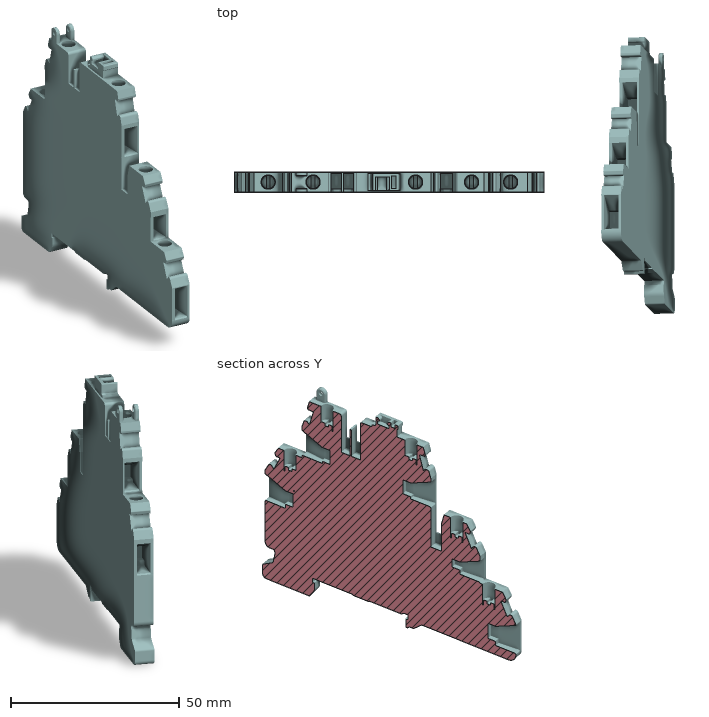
import cadquery as cq
import math

LENGTH = 92.0
THICKNESS = 6.0

TOP_Z = 70.7
MIDDLE_Z = 49.3
LOW_Z = 29.7
UNDERSIDE_Z = 6.9
RIGHT_UNDERSIDE_Z = 5.9
RAIL_PAD_Z = 6.6
FOOT_SHOULDER_Z = 11.7

LEFT_WALL = 0.9
UPPER_LEFT_WALL = 14.3
UPPER_RIGHT_WALL = 61.2
MIDDLE_RIGHT_WALL = 79.0

NOTCH_LEFT = 28.7
NOTCH_RIGHT = 35.4
NOTCH_FLOOR = 60.7
DIVIDER_LEFT = 31.7
DIVIDER_RIGHT = 32.4
DIVIDER_TOP = 66.6
GAP_RIGHT = 64.8
GAP_FLOOR = 39.4
NOTCH_ROUND = 0.8
FRONT_SKIN = 1.0
BACK_SKIN = 0.5
GAP_RECESS_DEPTH = 3.7

STEEP_NOSE = [
    (0, -10.3, 0), (0.8, -7.5, 0.8), (1.9, -7.5, 0), (2.8, -8.3, 0),
    (4.1, -3.3, 0), (2.1, -3.2, 0.5), (2.0, -2.4, 0.3), (2.8, 0, 0),
]
SLOPED_NOSE = [
    (0, -9.9, 0), (1.6, -7.1, 0.8), (2.5, -7.1, 0), (3.5, -8.2, 0),
    (5.9, -3.5, 0), (4.2, -3.5, 0.5), (3.8, -2.3, 0.3), (5.3, 0, 0),
]

SCREWS = [(10.0, MIDDLE_Z), (23.4, TOP_Z), (53.8, TOP_Z), (70.5, MIDDLE_Z), (82.1, LOW_Z)]
SCREW_Y = 3.0
SCREW_HOLE_DIAMETER = 4.2
SCREW_HEAD_DIAMETER = 4.0
SCREW_HOLE_DEPTH = 7.4
SCREW_HEAD_HEIGHT = 1.8
SCREW_SLOT_WIDTH = 1.1
SCREW_SLOT_DEPTH = 0.9

WIRE_ENTRIES = [
    (LEFT_WALL, 1, 28.15, 38.0, 5.15, 1.8),
    (UPPER_LEFT_WALL, 1, 49.9, 59.15, 5.4, 1.1),
    (UPPER_RIGHT_WALL, -1, 49.9, 59.15, 5.4, 1.1),
    (MIDDLE_RIGHT_WALL, -1, LOW_Z, 37.6, 5.15, 1.8),
    (LENGTH, -1, 9.0, 19.5, 5.15, 1.8),
]
ENTRY_FRONT = 0.9
ENTRY_BEVEL = 0.2
ENTRY_LEAD_IN = 0.4
ENTRY_DEPTH = 7.4
ENTRY_ROOF_DROP = 3.3
CLAMP_BACK = 4.5
CLAMP_DEPTH = 2.8

LUG_X = 20.0
LUG_HOLE_Z = 73.6
LUG_RADIUS = 1.7
LUG_HOLE_DIAMETER = 1.5
LUG_THICKNESS = 1.2
LUG_CHAMFER = 0.3
LUG_ROOT = 0.9

CARRIER_FRONT = 0.55
CARRIER_BACK = 5.5
CARRIER_TOP = 74.9
CARRIER_POCKET_FLOOR = 72.6
CARRIER_POCKET_BACK = 4.5
CARRIER_SLOT_START = 46.6
CARRIER_SLOT_END = 47.9
CARRIER_SLOT_FRONT = 1.1
CARRIER_SLOT_BACK = 4.8
CARRIER_SLOT_DEPTH = 1.4


def rounded_prism(corners, y_start, y_end):
    """Extrude an XZ outline along Y; each corner is (x, z, rounding radius)."""
    wire = None
    for i, (x, z, radius) in enumerate(corners):
        entry = leave = (x, z)
        if radius > 0:
            before = corners[i - 1]
            after = corners[(i + 1) % len(corners)]
            angle_in = math.atan2(before[1] - z, before[0] - x)
            angle_out = math.atan2(after[1] - z, after[0] - x)
            half = abs(math.remainder(angle_out - angle_in, math.tau)) / 2
            setback = radius / math.tan(half)
            entry = (x + setback * math.cos(angle_in), z + setback * math.sin(angle_in))
            leave = (x + setback * math.cos(angle_out), z + setback * math.sin(angle_out))
            bisector = angle_in + math.remainder(angle_out - angle_in, math.tau) / 2
            reach = radius / math.sin(half) - radius
            middle = (x + reach * math.cos(bisector), z + reach * math.sin(bisector))
        if wire is None:
            wire = cq.Workplane("XZ", origin=(0, y_start, 0)).moveTo(*entry)
        else:
            wire = wire.lineTo(*entry)
        if radius > 0:
            wire = wire.threePointArc(middle, leave)
    return wire.close().extrude(y_start - y_end)


def block(x_range, y_range, z_range):
    """Axis-aligned box between the given limits."""
    size = [high - low for low, high in (x_range, y_range, z_range)]
    return cq.Workplane("XY").box(*size, centered=False).translate((x_range[0], y_range[0], z_range[0]))


def nose(profile, wall, step_z, inward):
    """Nose corners from the wall upward; inward is +1 on left walls and -1 on right walls."""
    return [(wall + inward * offset, step_z + height, radius) for offset, height, radius in profile]


def make_body():
    foot = [
        (52.7, RIGHT_UNDERSIDE_Z, 0), (52.7, 7.5, 0), (51.3, 7.5, 0), (50.4, UNDERSIDE_Z, 0),
        (38.8, UNDERSIDE_Z, 0), (38.8, RAIL_PAD_Z, 0), (32.75, RAIL_PAD_Z, 0), (32.75, UNDERSIDE_Z, 0),
        (18.3, UNDERSIDE_Z, 0), (18.3, 5.5, 0), (18.95, 5.5, 0), (18.95, 2.8, 2.3),
        (17.1, 0, 0.7), (0, 0, 1.5), (0, 4.9, 0.7), (3.8, 6.9, 0.9),
        (4.4, 10.1, 0), (4.4, FOOT_SHOULDER_Z, 0.7),
    ]
    left_side = (
        [(LEFT_WALL, FOOT_SHOULDER_Z, 1.75)]
        + nose(SLOPED_NOSE, LEFT_WALL, MIDDLE_Z, 0.9)
        + [(UPPER_LEFT_WALL, MIDDLE_Z, 0)]
        + nose(STEEP_NOSE, UPPER_LEFT_WALL, TOP_Z, 1)
    )
    notch = [
        (NOTCH_LEFT, TOP_Z, NOTCH_ROUND), (NOTCH_LEFT, NOTCH_FLOOR, 0),
        (NOTCH_RIGHT, NOTCH_FLOOR, 0), (NOTCH_RIGHT, TOP_Z, NOTCH_ROUND),
    ]
    right_side = (
        nose(STEEP_NOSE, UPPER_RIGHT_WALL, TOP_Z, -1)[::-1]
        + [(UPPER_RIGHT_WALL, GAP_FLOOR, 0), (GAP_RIGHT, GAP_FLOOR, 0)]
        + [(GAP_RIGHT, 45.4, 0), (65.9, MIDDLE_Z, 0.3)]
        + nose(SLOPED_NOSE, MIDDLE_RIGHT_WALL, MIDDLE_Z, -0.9)[::-1]
        + [(MIDDLE_RIGHT_WALL, LOW_Z, 0)]
        + nose(SLOPED_NOSE, LENGTH, LOW_Z, -0.9)[::-1]
        + [(LENGTH, RIGHT_UNDERSIDE_Z, 2.9)]
    )
    latch = [
        (57.8, RIGHT_UNDERSIDE_Z, 0.9), (54.8, 3.4, 0), (53.3, 3.4, 0),
        (52.6, 2.8, 0), (51.9, 2.8, 0), (51.9, RIGHT_UNDERSIDE_Z, 0),
    ]
    return rounded_prism(foot + left_side + notch + right_side + latch, 0, THICKNESS)


def gap_recess(x_start, x_end, floor_z):
    """Deepened middle of a gap floor, leaving a skin at the front and back."""
    y_range = (FRONT_SKIN, THICKNESS - BACK_SKIN)
    return block((x_start, x_end), y_range, (floor_z - GAP_RECESS_DEPTH, floor_z))


def make_divider():
    z_range = (NOTCH_FLOOR - GAP_RECESS_DEPTH, DIVIDER_TOP)
    return block((DIVIDER_LEFT, DIVIDER_RIGHT), (0, THICKNESS), z_range)


def screw_hole(x, step_z):
    """Hole with the slotted screw head left standing on its floor."""
    floor_z = step_z - SCREW_HOLE_DEPTH
    head_z = floor_z + SCREW_HEAD_HEIGHT
    floor = cq.Workplane("XY", origin=(x, SCREW_Y, floor_z))
    hole = floor.circle(SCREW_HOLE_DIAMETER / 2).extrude(SCREW_HOLE_DEPTH)
    head = floor.circle(SCREW_HEAD_DIAMETER / 2).extrude(SCREW_HEAD_HEIGHT)
    slot = block(
        (x - SCREW_SLOT_WIDTH / 2, x + SCREW_SLOT_WIDTH / 2),
        (SCREW_Y - SCREW_HEAD_DIAMETER / 2, SCREW_Y + SCREW_HEAD_DIAMETER / 2),
        (head_z - SCREW_SLOT_DEPTH, head_z),
    )
    return hole.cut(head.cut(slot))


def wire_entry(wall, inward, bottom, top, back, sill):
    """Beveled front lip, chamber with a sloping roof and back, and a clamp opening behind it."""

    def at_depth(depth):
        return wall + inward * depth

    def section(depth, back_y, bottom_z, top_z):
        corners = [(ENTRY_FRONT, bottom_z), (back_y, bottom_z), (back_y, top_z), (ENTRY_FRONT, top_z)]
        return cq.Wire.makePolygon([cq.Vector(at_depth(depth), y, z) for y, z in corners], close=True)

    def taper(*sections):
        return cq.Workplane(cq.Solid.makeLoft(list(sections), True))

    bevel = (
        cq.Workplane("XY", origin=(0, 0, bottom))
        .polyline([(wall, 0), (at_depth(ENTRY_BEVEL), 0), (wall, ENTRY_FRONT)])
        .close()
        .extrude(top - bottom)
    )
    roof_z = top - ENTRY_ROOF_DROP
    chamber = taper(
        section(0, back, bottom + ENTRY_LEAD_IN, top),
        section(ENTRY_DEPTH, CLAMP_BACK, bottom + ENTRY_LEAD_IN, roof_z),
    )
    lead_in = taper(
        section(0, back, bottom, bottom + 2 * ENTRY_LEAD_IN),
        section(ENTRY_LEAD_IN, back, bottom + ENTRY_LEAD_IN, bottom + 2 * ENTRY_LEAD_IN),
    )
    clamp = block(
        sorted((at_depth(ENTRY_DEPTH), at_depth(ENTRY_DEPTH + CLAMP_DEPTH))),
        (ENTRY_FRONT, CLAMP_BACK),
        (bottom + sill, roof_z),
    )
    return chamber.union(lead_in).union(clamp).union(bevel)


def test_lug(y_start, inner_face):
    """Round-topped lug with a cross hole and a chamfered rim on the face toward the other lug."""
    left = LUG_X - LUG_RADIUS
    right = LUG_X + LUG_RADIUS
    root_z = TOP_Z - LUG_ROOT
    plane = cq.Workplane("XZ", origin=(0, y_start, 0))
    lug = (
        plane.moveTo(left, root_z)
        .lineTo(left, LUG_HOLE_Z)
        .threePointArc((LUG_X, LUG_HOLE_Z + LUG_RADIUS), (right, LUG_HOLE_Z))
        .lineTo(right, root_z)
        .close()
        .extrude(-LUG_THICKNESS)
        .faces(inner_face)
        .chamfer(LUG_CHAMFER)
    )
    hole = plane.center(LUG_X, LUG_HOLE_Z).circle(LUG_HOLE_DIAMETER / 2).extrude(-LUG_THICKNESS)
    return lug.cut(hole)


def make_carrier():
    outline = [
        (39.65, TOP_Z, 0), (39.65, 71.6, 0), (40.6, 71.6, 0), (41.0, 71.9, 0),
        (41.0, CARRIER_TOP, 0.3), (49.2, CARRIER_TOP, 0.3), (49.2, 73.5, 0),
        (48.9, 73.2, 0), (48.9, TOP_Z, 0),
    ]
    undercut_pocket = [
        (41.9, CARRIER_POCKET_FLOOR, 0), (41.9, 73.5, 0), (42.5, 73.8, 0), (42.5, 74.3, 0.4),
        (41.9, CARRIER_TOP, 0), (46.0, CARRIER_TOP, 0), (45.2, 74.3, 0.4), (45.2, 73.8, 0),
        (45.8, 73.5, 0), (45.8, CARRIER_POCKET_FLOOR, 0),
    ]
    slot = block(
        (CARRIER_SLOT_START, CARRIER_SLOT_END),
        (CARRIER_SLOT_FRONT, CARRIER_SLOT_BACK),
        (CARRIER_TOP - CARRIER_SLOT_DEPTH, CARRIER_TOP),
    )
    carrier = rounded_prism(outline, CARRIER_FRONT, CARRIER_BACK)
    pocket = rounded_prism(undercut_pocket, CARRIER_FRONT, CARRIER_POCKET_BACK)
    return carrier.cut(pocket).cut(slot)


result = make_body()
result = result.cut(gap_recess(NOTCH_LEFT, NOTCH_RIGHT, NOTCH_FLOOR))
result = result.cut(gap_recess(UPPER_RIGHT_WALL, GAP_RIGHT, GAP_FLOOR))
result = result.union(make_divider())
for lug_y, lug_inner_face in [(0, ">Y"), (THICKNESS - LUG_THICKNESS, "<Y")]:
    result = result.union(test_lug(lug_y, lug_inner_face))
result = result.union(make_carrier())
for screw_x, screw_step_z in SCREWS:
    result = result.cut(screw_hole(screw_x, screw_step_z))
for entry in WIRE_ENTRIES:
    result = result.cut(wire_entry(*entry))